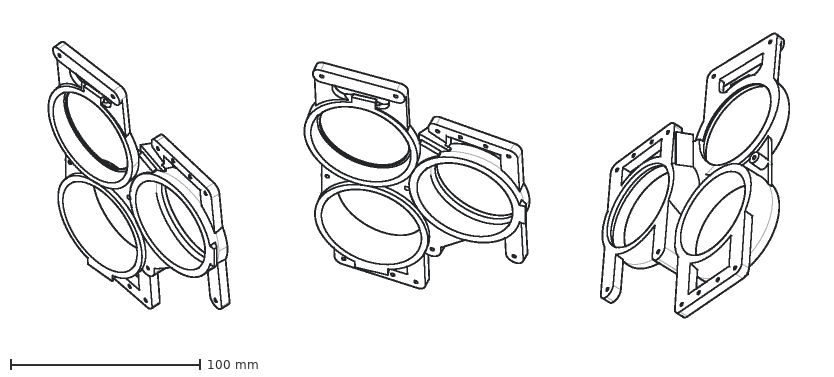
import cadquery as cq


PLATE_FRONT = 9.2
PLATE_REAR = 12.1
PLATE_LEFT = 8.2
PIN_POINT = (11.3, 83.3)
PIN_RADIUS = 3.3
PIN_REAR = 19.6
PIN_HOLE_RADIUS = 1.0
PLATE_HOLES = [(41.8, 88.5), (55.5, 88.5)]
PLATE_HOLE_RADIUS = 1.4

UPPER_CENTER = (31.4, 120.0)
LOWER_CENTER = (36.6, 55.0)
SIDE_CENTER = (88.2, 92.2)
RING_RADIUS = 31.4
BORE_RADIUS = 27.8
SIDE_BORE_RADIUS = 26.9
UPPER_FRONT = 4.3
LOWER_FRONT = 6.5
SIDE_FRONT = 7.5
SIDE_FACE_FALL = 0.035

LOWER_RIM_RADIUS = 29.9
SIDE_RIM_RADIUS = 29.2
REAR_BORE_RADIUS = 25.2
UPPER_SEAT_RADIUS = 26.4
UPPER_LIP_THICK = 1.0
SIDE_SEAT_RADIUS = 26.5
SIDE_SEAT_HEIGHT = 5.2
SIDE_LIP_THICK = 2.6

FRAME_WIDTH = 52.4
FRAME_HALF = FRAME_WIDTH / 2
UPPER_FRAME_HALF = 25.9
LEG_WIDTH = 10.2
LEG_END_RADIUS = 5.0
WINDOW_HALF = FRAME_HALF - LEG_WIDTH
FRAME_THICK = 5.4
UPPER_LEG_THICK = 3.3
CORNER_RADIUS = 4.5
SCREW_RADIUS = 1.0
SCREW_OFFSETS = (-20.8, -7.5, 7.5, 20.8)
UPPER_FRAME_TOP = 51.9
UPPER_BAR_HEIGHT = 10.2
UPPER_SCREW_V = 46.9
UPPER_WINDOW_FLOOR = 29.5
UPPER_WINDOW_RADIUS = 6.0
LOWER_FRAME_BOTTOM = -55.9
LOWER_BAR_HEIGHT = 8.9
LOWER_SCREW_V = -51.2
SIDE_FRAME_TOP = 43.9
SIDE_FRAME_BOTTOM = -51.4
SIDE_BAR_HEIGHT = 7.0
SIDE_LEG_SCREW_V = -46.2
SIDE_OUTER_SCREW_V = 38.5
SIDE_INNER_SCREW_V = 40.3
SCREW_DEPTH = 18.7
REACH = 27.8
OVERSIZE = 520.6

UPPER_TAB_X = (26.4, 39.4)
UPPER_TAB_TOP = 155.0
UPPER_TAB_THICK = 2.6
LOWER_TAB_X = (27.5, 45.8)
LOWER_TAB_TIP = 20.7
SIDE_TAB_Z = (85.7, 99.3)
SIDE_TAB_TIP = 122.0
SIDE_TAB_EDGE = 2.0
TAB_SLOPE_DEPTH = 5.2
TAB_ROOT_INSET = 1.7


def upright_plane(y, fall_x=0.0, center=(0, 0)):
    """Forward-facing plane through (center X, y, center Z) whose Y drops by fall_x per unit X."""
    return cq.Plane(origin=(center[0], y, center[1]), xDir=(1, -fall_x, 0), normal=(-fall_x, -1, 0))


def tilted_plane(x, y, z, fall_x, fall_z):
    """Forward-facing rear plane of a frame; its Y drops by fall_x per unit X and fall_z per unit Z."""
    return cq.Plane(origin=(x, y, z), xDir=(1, -fall_x, 0), normal=(-fall_x, -1, -fall_z))


UPPER_PLANE = tilted_plane(31.5, 11.0, 121.8, 0.042, 0.089)
LOWER_PLANE = tilted_plane(36.5, 24.3, 56.0, 0.1, 0.065)
SIDE_PLANE = tilted_plane(92.2, 21.3, 93.0, 0.14, 0.08)


def raised(plane, height):
    """Plane parallel to the given one and moved forward along its normal."""
    return cq.Plane(origin=plane.origin + plane.zDir * height, xDir=plane.xDir, normal=plane.zDir)


def block(plane, u_range, v_range, depth):
    """Box standing on a plane, given by its two in-plane ranges and its height."""
    (u_min, u_max), (v_min, v_max) = u_range, v_range
    return (
        cq.Workplane(plane)
        .center((u_min + u_max) / 2, (v_min + v_max) / 2)
        .rect(u_max - u_min, v_max - v_min)
        .extrude(depth)
    )


def round_corners(body, plane, points, radius):
    """Fillet those edges along the plane normal that start nearest the given in-plane points."""
    for u, v in points:
        spot = plane.toWorldCoords((u, v, 0))
        edge = cq.selectors.NearestToPointSelector(spot.toTuple())
        body = body.edges(cq.selectors.ParallelDirSelector(plane.zDir)).edges(edge).fillet(radius)
    return body


def slab(outline, y_front, y_rear):
    """X-Z outline extruded from y_front back to y_rear."""
    return cq.Workplane(upright_plane(y_rear)).polyline(outline).close().extrude(y_rear - y_front)


def disc(center, radius, y_front, y_rear):
    """Cylinder along Y around an (X, Z) centre."""
    return cq.Workplane(upright_plane(y_rear)).center(*center).circle(radius).extrude(y_rear - y_front)


def tube(front_plane, front_radius, rear_plane, rear_radius):
    """Ruled solid between a circle on the front plane and one on the rear plane."""
    rims = [
        cq.Wire.assembleEdges([cq.Workplane(plane).circle(radius).edges().val()])
        for plane, radius in ((front_plane, front_radius), (rear_plane, rear_radius))
    ]
    return cq.Workplane(cq.Solid.makeLoft(rims, True))


def screw_holes(plane, points):
    return cq.Workplane(plane).pushPoints(points).circle(SCREW_RADIUS).extrude(SCREW_DEPTH)


WEB_OUTLINE = [(60.7, 130.2), (78.1, 122.2), SIDE_CENTER, (72.9, 86.8), (60.7, 86.8)]
WEB_FLANGE_REAR = 14.2
WEB_PROFILE = [
    (61.1, PLATE_REAR),
    (64.9, 21.5),
    (74.0, 20.5),
    (74.0, WEB_FLANGE_REAR),
    (83.3, WEB_FLANGE_REAR),
    (83.3, PLATE_REAR),
]


def make_plate():
    outline = [
        (PLATE_LEFT, LOWER_CENTER[1]),
        (PLATE_LEFT, UPPER_CENTER[1]),
        UPPER_CENTER,
        (62.7, 125.7),
        (73.2, 120.5),
        SIDE_CENTER,
        (89.5, 60.2),
        (74.5, 48.6),
        (69.5, 46.9),
        LOWER_CENTER,
    ]
    plate = slab(outline, PLATE_FRONT, PLATE_REAR)
    web = slab(WEB_OUTLINE, PLATE_REAR, REACH)
    web = web.intersect(cq.Workplane("XY").polyline(WEB_PROFILE).close().extrude(OVERSIZE))
    pin = disc(PIN_POINT, PIN_RADIUS, PLATE_FRONT, PIN_REAR)
    return plate.union(web).union(pin)


def make_plate_holes():
    holes = disc(PIN_POINT, PIN_HOLE_RADIUS, PLATE_FRONT, PIN_REAR)
    for point in PLATE_HOLES:
        holes = holes.union(disc(point, PLATE_HOLE_RADIUS, 0, REACH))
    return holes


def make_upper_frame():
    top = UPPER_FRAME_TOP
    sides = (-UPPER_FRAME_HALF, UPPER_FRAME_HALF)
    legs = block(UPPER_PLANE, sides, (0, top), UPPER_LEG_THICK)
    legs = round_corners(legs, UPPER_PLANE, [(u, top) for u in sides], CORNER_RADIUS)
    bar_bottom = top - UPPER_BAR_HEIGHT
    bar = block(UPPER_PLANE, sides, (bar_bottom, top), FRAME_THICK)
    bar = round_corners(bar, UPPER_PLANE, [(u, v) for u in sides for v in (bar_bottom, top)], CORNER_RADIUS)
    window = block(UPPER_PLANE, (-WINDOW_HALF, WINDOW_HALF), (UPPER_WINDOW_FLOOR, bar_bottom), FRAME_THICK)
    window_corners = [(u, UPPER_WINDOW_FLOOR) for u in (-WINDOW_HALF, WINDOW_HALF)]
    window = round_corners(window, UPPER_PLANE, window_corners, UPPER_WINDOW_RADIUS)
    screws = screw_holes(UPPER_PLANE, [(SCREW_OFFSETS[0], UPPER_SCREW_V), (SCREW_OFFSETS[-1], UPPER_SCREW_V)])
    return legs.cut(window).union(bar).cut(screws)


def make_lower_frame():
    bottom = LOWER_FRAME_BOTTOM
    sides = (-FRAME_HALF, FRAME_HALF)
    frame = block(LOWER_PLANE, sides, (bottom, 0), FRAME_THICK)
    frame = round_corners(frame, LOWER_PLANE, [(u, bottom) for u in sides], CORNER_RADIUS)
    window = block(LOWER_PLANE, (-WINDOW_HALF, WINDOW_HALF), (bottom + LOWER_BAR_HEIGHT, 0), FRAME_THICK)
    return frame.cut(window).cut(screw_holes(LOWER_PLANE, [(u, LOWER_SCREW_V) for u in SCREW_OFFSETS]))


def make_side_leg(u_range, top, depth):
    """Leg of the side frame with a rounded lower end."""
    leg = block(SIDE_PLANE, u_range, (SIDE_FRAME_BOTTOM, top), depth)
    return round_corners(leg, SIDE_PLANE, [(u, SIDE_FRAME_BOTTOM) for u in u_range], LEG_END_RADIUS)


def make_side_frame():
    top = SIDE_FRAME_TOP
    sides = (-FRAME_HALF, FRAME_HALF)
    left_leg = (-FRAME_HALF, -WINDOW_HALF)
    right_leg = (WINDOW_HALF, FRAME_HALF)
    frame = block(SIDE_PLANE, sides, (0, top), FRAME_THICK)
    frame = round_corners(frame, SIDE_PLANE, [(u, top) for u in sides], CORNER_RADIUS)
    frame = frame.cut(block(SIDE_PLANE, (-WINDOW_HALF, WINDOW_HALF), (0, top - SIDE_BAR_HEIGHT), FRAME_THICK))
    frame = frame.union(make_side_leg(right_leg, 0, FRAME_THICK))

    ahead_of_plate = cq.Workplane().box(OVERSIZE, 2 * PLATE_FRONT, OVERSIZE)
    foot = make_side_leg(left_leg, 0, REACH).cut(ahead_of_plate)
    head = block(SIDE_PLANE, left_leg, (0, top), REACH).intersect(slab(WEB_OUTLINE, PLATE_REAR, REACH))
    frame = frame.union(foot).union(head)

    screws = [(u, SIDE_OUTER_SCREW_V) for u in (SCREW_OFFSETS[0], SCREW_OFFSETS[-1])]
    screws += [(u, SIDE_INNER_SCREW_V) for u in SCREW_OFFSETS[1:-1]]
    screws += [(u, SIDE_LEG_SCREW_V) for u in (SCREW_OFFSETS[0], SCREW_OFFSETS[-1])]
    return frame.cut(screw_holes(SIDE_PLANE, screws))


def make_ring_bodies():
    upper_face = upright_plane(UPPER_FRONT, center=UPPER_CENTER)
    upper = tube(upper_face, RING_RADIUS, UPPER_PLANE, RING_RADIUS)

    lower = disc(LOWER_CENTER, RING_RADIUS, LOWER_FRONT, PLATE_REAR)
    lower_seat = upright_plane(PLATE_REAR, center=LOWER_CENTER)
    lower = lower.union(tube(lower_seat, RING_RADIUS, LOWER_PLANE, LOWER_RIM_RADIUS))

    side_face = upright_plane(SIDE_FRONT, SIDE_FACE_FALL, SIDE_CENTER)
    side_seat = upright_plane(PLATE_REAR, center=SIDE_CENTER)
    side = tube(side_face, RING_RADIUS, side_seat, RING_RADIUS)
    side = side.union(tube(side_seat, RING_RADIUS, SIDE_PLANE, SIDE_RIM_RADIUS))
    return upper.union(lower).union(side)


def make_bores():
    upper_face = upright_plane(UPPER_FRONT, center=UPPER_CENTER)
    upper = tube(upper_face, BORE_RADIUS, raised(UPPER_PLANE, UPPER_LIP_THICK), UPPER_SEAT_RADIUS)
    lip = cq.Workplane(UPPER_PLANE).circle(REAR_BORE_RADIUS).extrude(UPPER_LEG_THICK, both=True)

    lower = tube(upright_plane(LOWER_FRONT, center=LOWER_CENTER), BORE_RADIUS, LOWER_PLANE, REAR_BORE_RADIUS)

    side_face = upright_plane(SIDE_FRONT, SIDE_FACE_FALL, SIDE_CENTER)
    side_seat = raised(SIDE_PLANE, SIDE_SEAT_HEIGHT)
    side_lip = raised(SIDE_PLANE, SIDE_LIP_THICK)
    side = tube(side_face, SIDE_BORE_RADIUS, side_seat, SIDE_SEAT_RADIUS)
    side = side.union(tube(side_seat, SIDE_SEAT_RADIUS, side_lip, REAR_BORE_RADIUS))
    side = side.union(cq.Workplane(SIDE_PLANE).circle(REAR_BORE_RADIUS).extrude(SIDE_LIP_THICK))
    return upper.union(lip).union(lower).union(side)


def make_tabs():
    upper_root = UPPER_CENTER[1] + BORE_RADIUS + TAB_ROOT_INSET
    upper_back = upright_plane(UPPER_FRONT + UPPER_TAB_THICK)
    upper = block(upper_back, UPPER_TAB_X, (upper_root, UPPER_TAB_TOP), UPPER_TAB_THICK)

    lower_root = LOWER_CENTER[1] - BORE_RADIUS - TAB_ROOT_INSET
    lower_profile = [
        (LOWER_FRONT, lower_root),
        (LOWER_FRONT, LOWER_TAB_TIP),
        (LOWER_FRONT + TAB_SLOPE_DEPTH, LOWER_TAB_TIP + TAB_SLOPE_DEPTH),
        (LOWER_FRONT + TAB_SLOPE_DEPTH, lower_root),
    ]
    lower = (
        cq.Workplane("YZ", origin=(LOWER_TAB_X[0], 0, 0))
        .polyline(lower_profile)
        .close()
        .extrude(LOWER_TAB_X[1] - LOWER_TAB_X[0])
    )

    side_root = SIDE_CENTER[0] + SIDE_BORE_RADIUS + TAB_ROOT_INSET
    side_front = SIDE_FRONT - SIDE_FACE_FALL * (SIDE_TAB_TIP - SIDE_CENTER[0])
    side_profile = [
        (side_root, SIDE_FRONT - SIDE_FACE_FALL * (side_root - SIDE_CENTER[0])),
        (SIDE_TAB_TIP, side_front),
        (SIDE_TAB_TIP, side_front + SIDE_TAB_EDGE),
        (side_root, side_front + TAB_SLOPE_DEPTH),
    ]
    side = (
        cq.Workplane("XY", origin=(0, 0, SIDE_TAB_Z[0]))
        .polyline(side_profile)
        .close()
        .extrude(SIDE_TAB_Z[1] - SIDE_TAB_Z[0])
    )
    return upper.union(lower).union(side)


result = (
    make_plate()
    .union(make_upper_frame())
    .union(make_lower_frame())
    .union(make_side_frame())
    .union(make_ring_bodies())
    .union(make_tabs())
    .cut(make_bores())
    .cut(make_plate_holes())
)